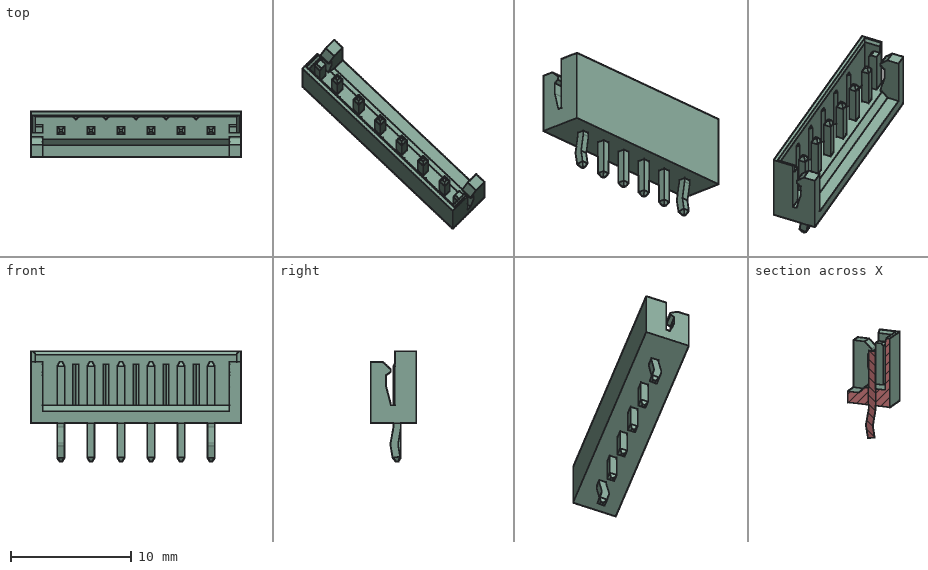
import cadquery as cq
import math


length = 17.5
depth = 3.8
height = 6.0

side_wall = 0.37
back_wall = 0.44
floor_height = 1.5
sill_height = 1.0
sill_depth = 1.0
side_bevel = 0.23
back_bevel_depth = 0.12
back_bevel_height = 0.32

arm_width = 0.98
arm_height = 5.1
arm_top_depth = 1.02
slot_front = 1.7
slot_back = 2.01
beak_tip_y = 1.68
beak_root_y = 1.63
beak_top_z = 4.53
beak_bottom_z = 4.22
neck_y = 1.3
neck_top_z = 3.99
neck_bottom_z = 3.05

post_back = 2.71
post_bevel = 0.2

pin_count = 6
pitch = length / 7
pin_size = 0.63
pin_y = 2.2
pin_top = 5.1
pin_bottom = -3.2
tip_length = 0.35
tip_size = 0.23

bend_start_z = -0.32
bend_offset = 0.25
bend_bulge = 0.02
bend_top_z = -1.65
bend_bottom_z = -1.89
bend_end_offset = 0.07
bend_tip_z = -2.89

rib_half_width = 0.25
rib_projection = 0.25
rib_top = 4.9

inner_half_length = length / 2 - side_wall
inner_back = depth - back_wall
pin_positions = [(i - (pin_count - 1) / 2) * pitch for i in range(pin_count)]


def box(x_min, x_max, y_min, y_max, z_min, z_max):
    """Box between opposite corners."""
    size = (x_max - x_min, y_max - y_min, z_max - z_min)
    return cq.Workplane("XY").box(*size, centered=False).translate((x_min, y_min, z_min))


def extrude_along_x(points, x_min, x_max):
    """Closed outline of (y, z) points, extruded from x_min to x_max."""
    return cq.Workplane("YZ").workplane(offset=x_min).polyline(points).close().extrude(x_max - x_min)


def square_frustum(y, z, size, end_size, rise):
    """Square frustum at x = 0 that narrows from size to end_size over a signed rise."""
    base = cq.Workplane("XY").workplane(offset=z).center(0, y).rect(size, size)
    return base.workplane(offset=rise).rect(end_size, end_size).loft(ruled=True)


def make_base():
    """Floor block whose front edge steps down to the sill through a 45 degree bevel."""
    sill_bevel_end = sill_depth + floor_height - sill_height
    outline = [
        (0, 0),
        (depth, 0),
        (depth, floor_height),
        (sill_bevel_end, floor_height),
        (sill_depth, sill_height),
        (0, sill_height),
    ]
    return extrude_along_x(outline, -length / 2, length / 2)


def make_cavity():
    """Space between the walls, widening at the top by mitred bevels along the side and back rims."""
    rim_half_length = inner_half_length + side_bevel
    rim_back = inner_back + back_bevel_depth
    length_outline = [
        (-inner_half_length, floor_height),
        (inner_half_length, floor_height),
        (inner_half_length, height - side_bevel),
        (rim_half_length, height),
        (-rim_half_length, height),
        (-inner_half_length, height - side_bevel),
    ]
    depth_outline = [
        (0, floor_height),
        (inner_back, floor_height),
        (inner_back, height - back_bevel_height),
        (rim_back, height),
        (0, height),
    ]
    side_cut = cq.Workplane("XZ").polyline(length_outline).close().extrude(-rim_back)
    back_cut = extrude_along_x(depth_outline, -rim_half_length, rim_half_length)
    return side_cut.intersect(back_cut)


def make_walls():
    """Back wall and two side walls around the cavity."""
    walls = box(-length / 2, length / 2, slot_back, depth, floor_height, height)
    return walls.cut(make_cavity())


def make_latch_arm(x_min):
    """Front corner arm with a round-nosed beak facing the slot."""
    outline = (
        cq.Workplane("YZ")
        .workplane(offset=x_min)
        .moveTo(0, 0)
        .lineTo(slot_front, 0)
        .lineTo(slot_front, floor_height)
        .lineTo(neck_y, neck_bottom_z)
        .lineTo(neck_y, neck_top_z)
        .lineTo(beak_root_y, beak_bottom_z)
        .threePointArc((beak_tip_y, (beak_bottom_z + beak_top_z) / 2), (beak_root_y, beak_top_z))
        .lineTo(arm_top_depth, arm_height)
        .lineTo(0, arm_height)
        .close()
    )
    return outline.extrude(arm_width)


def make_guide_post(x_min):
    """Post beside the slot, bevelled along its back top edge."""
    outline = [
        (slot_back, 0),
        (post_back, 0),
        (post_back, arm_height - post_bevel),
        (post_back - post_bevel, arm_height),
        (slot_back, arm_height),
    ]
    return extrude_along_x(outline, x_min, x_min + arm_width)


def make_rib(x):
    """Triangular rib standing on the floor against the back wall."""
    outline = [
        (x - rib_half_width, inner_back),
        (x + rib_half_width, inner_back),
        (x, inner_back - rib_projection),
    ]
    return cq.Workplane("XY").polyline(outline).close().extrude(rib_top)


def make_housing():
    """Base, walls, arms, posts and ribs in one piece, with a square hole for each pin."""
    housing = make_base().union(make_walls())
    for x_min in (-length / 2, length / 2 - arm_width):
        housing = housing.union(make_latch_arm(x_min)).union(make_guide_post(x_min))
    for x in pin_positions[:-1]:
        housing = housing.union(make_rib(x + pitch / 2))
    for x in pin_positions:
        half = pin_size / 2
        housing = housing.cut(box(x - half, x + half, pin_y - half, pin_y + half, 0, floor_height))
    return housing


def make_pin_upper(shank_bottom):
    """Square shank from shank_bottom up to a tapered tip, at x = 0."""
    half = pin_size / 2
    shank_top = pin_top - tip_length
    shank = box(-half, half, pin_y - half, pin_y + half, shank_bottom, shank_top)
    return shank.union(square_frustum(pin_y, shank_top, pin_size, tip_size, tip_length))


def make_straight_pin():
    """Straight pin with the same taper at both ends."""
    shank_bottom = pin_bottom + tip_length
    tip = square_frustum(pin_y, shank_bottom, pin_size, tip_size, -tip_length)
    return make_pin_upper(shank_bottom).union(tip)


def make_bent_pin():
    """Pin whose tail bows to the front and returns to a tapered tip."""
    half = pin_size / 2
    front = pin_y - half
    back = pin_y + half
    return_tilt = math.atan((bend_offset - bend_end_offset) / (bend_bottom_z - bend_tip_z))
    tip_front = front - bend_end_offset
    tip_back = tip_front + pin_size * math.cos(return_tilt)
    tip_back_z = bend_tip_z + pin_size * math.sin(return_tilt)
    bend_middle_z = (bend_top_z + bend_bottom_z) / 2
    tail_outline = (
        cq.Workplane("YZ")
        .workplane(offset=-half)
        .moveTo(front, 0)
        .lineTo(front, bend_start_z)
        .lineTo(front - bend_offset, bend_top_z)
        .threePointArc(
            (front - bend_offset - bend_bulge, bend_middle_z),
            (front - bend_offset, bend_bottom_z),
        )
        .lineTo(tip_front, bend_tip_z)
        .lineTo(tip_back, tip_back_z)
        .lineTo(back - bend_offset, bend_middle_z)
        .lineTo(back, bend_start_z)
        .lineTo(back, 0)
        .close()
    )
    tail = tail_outline.extrude(pin_size)
    tilt_degrees = math.degrees(return_tilt)
    tip_center_y = (tip_front + tip_back) / 2
    tip_center_z = (bend_tip_z + tip_back_z) / 2
    tip = square_frustum(0, 0, pin_size, tip_size, -tip_length)
    tip = tip.rotate((0, 0, 0), (1, 0, 0), tilt_degrees).translate((0, tip_center_y, tip_center_z))
    return make_pin_upper(0).union(tail).union(tip)


housing = make_housing()
pins = []
for x in pin_positions:
    is_end_pin = x in (pin_positions[0], pin_positions[-1])
    pin = make_bent_pin() if is_end_pin else make_straight_pin()
    pins.append(pin.translate((x, 0, 0)).val())

result = cq.Compound.makeCompound([housing.val(), *pins])